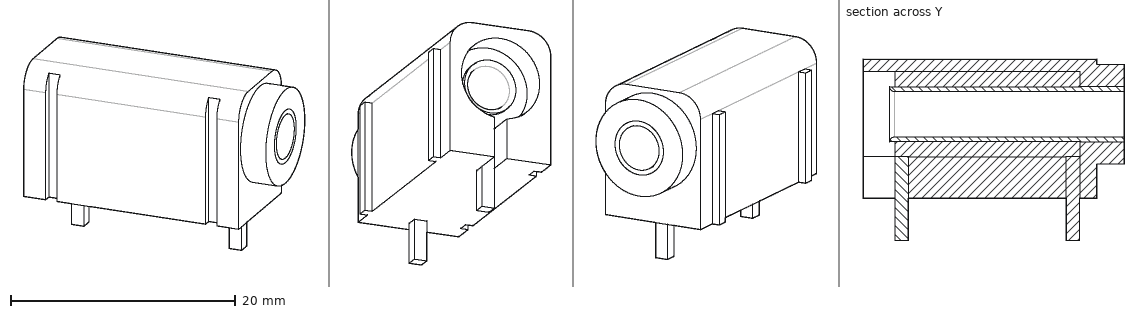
import cadquery as cq

total_length = 23.3
body_length = 20.85
body_width = 9.79
body_height = 12.42
body_corner_radius = 2.17
nose_radius = 4.47

axis_height = 7.5

tube_bore_radius = 2.05
tube_rim_radius = 0.45
tube_outer_radius = tube_bore_radius + tube_rim_radius
tube_protrusion = 0.5

collar_radius = 3.8
collar_start = 2.82

leg_size = 1.2
leg_drop = 3.77
leg_spacing = 15.28
leg_starts = [collar_start, collar_start + leg_spacing]
collar_end = leg_starts[-1] + leg_size
tube_start = collar_start - tube_protrusion

key_width = 1.1
key_start = 2.15
key_spacing = 15.5
rib_depth = 0.72
groove_depth = 0.72
rib_height = body_height - body_corner_radius
key_starts = [key_start, key_start + key_spacing]


def block(x_start, x_size, y_start, y_size, z_start, z_size):
    """Box given by its lower corner and its sizes."""
    return cq.Workplane("XY").box(x_size, y_size, z_size, centered=False).translate((x_start, y_start, z_start))


def socket_cylinder(radius, x_start, x_end):
    """Cylinder on the socket axis."""
    plane = cq.Workplane("YZ", origin=(x_start, 0, axis_height))
    return plane.circle(radius).extrude(x_end - x_start)


def make_leg(x_start):
    """Square leg standing below the collar, with its top following the collar surface."""
    leg = block(x_start, leg_size, -leg_size / 2, leg_size, -leg_drop, leg_drop + axis_height)
    return leg.cut(socket_cylinder(collar_radius, collar_start, collar_end))


def make_tube():
    """Contact tube with its bore rounded out to the full wall at the back end."""
    half_profile = (
        cq.Workplane("XZ")
        .moveTo(tube_start, tube_outer_radius)
        .radiusArc((tube_start + tube_rim_radius, tube_bore_radius), -tube_rim_radius)
        .lineTo(total_length, tube_bore_radius)
        .lineTo(total_length, tube_outer_radius)
        .close()
    )
    return half_profile.revolve(360, (0, 0, 0), (1, 0, 0)).translate((0, 0, axis_height))


def make_collar():
    """Thick sleeve between the contact tube and the housing."""
    collar = socket_cylinder(collar_radius, collar_start, collar_end)
    return collar.cut(socket_cylinder(tube_outer_radius, collar_start, collar_end))


def make_housing():
    """Rounded body and nose, with keys, a stepped bore, and openings for the legs."""
    housing = block(0, body_length, -body_width / 2, body_width, 0, body_height)
    housing = housing.edges("|X and >Z").fillet(body_corner_radius)
    housing = housing.union(socket_cylinder(nose_radius, 0, total_length))

    for x_start in key_starts:
        rib = block(x_start, key_width, body_width / 2, rib_depth, 0, rib_height)
        groove = block(x_start, key_width, -body_width / 2, groove_depth, 0, body_height)
        housing = housing.union(rib).cut(groove)

    housing = housing.cut(socket_cylinder(collar_radius, 0, collar_end))
    housing = housing.cut(socket_cylinder(tube_outer_radius, 0, total_length))

    housing = housing.cut(block(0, collar_start, -leg_size / 2, leg_size, 0, axis_height))
    for x_start in leg_starts:
        housing = housing.cut(make_leg(x_start))
    return housing


housing = make_housing()
tube = make_tube()
collar = make_collar()
legs = [make_leg(x_start) for x_start in leg_starts]

result = cq.Compound.makeCompound(
    [housing.val(), tube.val(), collar.val(), *[leg.val() for leg in legs]]
)